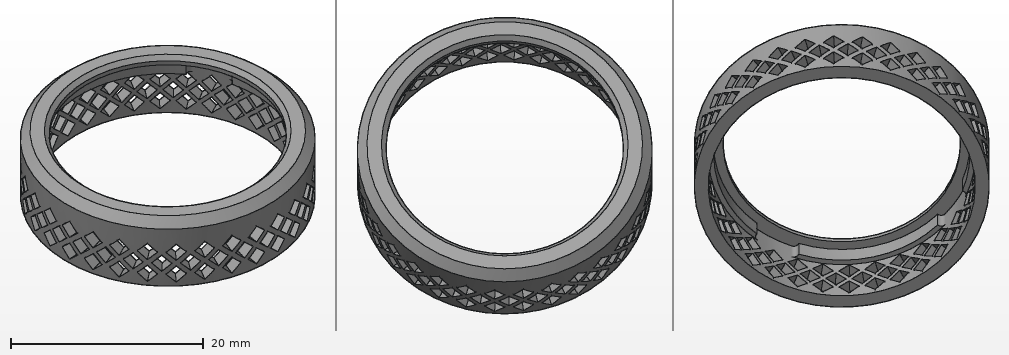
import cadquery as cq

outer_diameter = 30.6
wall_inner_diameter = 27.7
ring_height = 8.55
outer_chamfer = 1.0

lip_diameter = 24.6
lip_height = 1.0
lip_chamfer = 0.5

step_diameter = 26.55
step_bottom = 5.6
notch_angle = 45
notch_width = 5.05
notch_corner_radius = 0.52

windows_per_row = 32
window_diagonal = 2.1
row_spacing = 1.45
middle_row_height = 3.03

outer_radius = outer_diameter / 2
wall_inner_radius = wall_inner_diameter / 2
lip_radius = lip_diameter / 2
step_radius = step_diameter / 2
lip_bottom = ring_height - lip_height
window_pitch = 360 / windows_per_row


def make_ring():
    """Revolve the plain wall and the lip as one section."""
    section = [
        (wall_inner_radius, 0),
        (outer_radius, 0),
        (outer_radius, ring_height - outer_chamfer),
        (outer_radius - outer_chamfer, ring_height),
        (lip_radius + lip_chamfer, ring_height),
        (lip_radius, ring_height - lip_chamfer),
        (lip_radius, lip_bottom),
        (wall_inner_radius, lip_bottom),
    ]
    profile = cq.Workplane("XZ").polyline(section).close()
    return profile.revolve(360, (0, 0, 0), (0, 1, 0))


def add_step(ring):
    """Add the step, split by two crossing bars whose corners round into the wall."""
    base = cq.Workplane("XY").workplane(offset=step_bottom)
    step_height = lip_bottom - step_bottom
    bore = base.circle(wall_inner_radius).extrude(step_height)
    bar = (
        base.rect(notch_width, outer_diameter)
        .extrude(step_height)
        .intersect(bore)
        .edges("|Z")
        .fillet(notch_corner_radius)
    )
    first_bar = bar.rotate((0, 0, 0), (0, 0, 1), notch_angle)
    second_bar = bar.rotate((0, 0, 0), (0, 0, 1), notch_angle + 90)
    opening = base.circle(step_radius).extrude(step_height)
    step = bore.cut(opening).cut(first_bar).cut(second_bar)
    return ring.union(step)


def cut_window_row(ring, height, start_angle):
    """Cut one row of diamond windows, each pointing radially outwards."""
    window_depth = outer_radius
    window = (
        cq.Workplane("YZ")
        .workplane(offset=lip_radius)
        .center(0, height)
        .polygon(4, window_diagonal)
        .extrude(window_depth)
    )
    windows = [
        window.rotate((0, 0, 0), (0, 0, 1), start_angle + index * window_pitch).val()
        for index in range(windows_per_row)
    ]
    return ring.cut(cq.Workplane(cq.Compound.makeCompound(windows)))


result = add_step(make_ring())

result = cut_window_row(result, middle_row_height - row_spacing, 0)
result = cut_window_row(result, middle_row_height, window_pitch / 2)
result = cut_window_row(result, middle_row_height + row_spacing, 0)